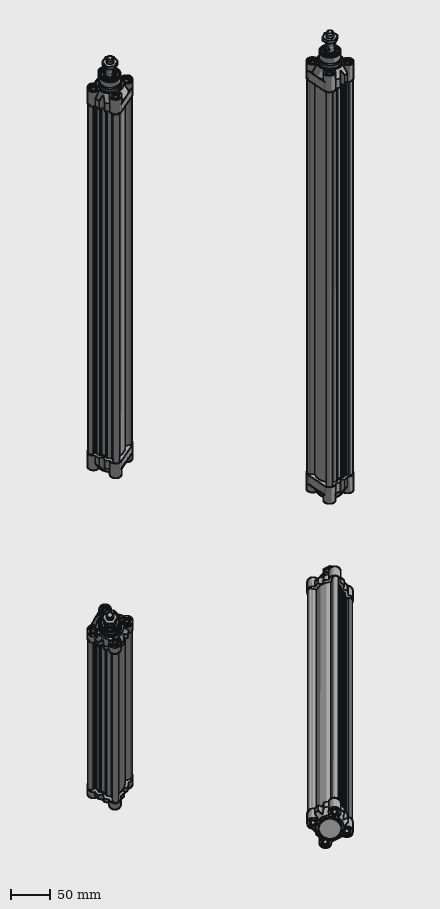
import cadquery as cq
import math


TOTAL_LENGTH = 746.0
REAR_COLLAR_HEIGHT = 4.0
ROD_STICKOUT = 48.0
CAP_HEIGHT = 27.0
FRONT_FACE_Z = TOTAL_LENGTH - ROD_STICKOUT
REAR_FACE_Z = REAR_COLLAR_HEIGHT
TUBE_BOTTOM_Z = REAR_FACE_Z + CAP_HEIGHT
TUBE_TOP_Z = FRONT_FACE_Z - CAP_HEIGHT

CAP_WIDTH = 47.0
CAP_RADIUS = CAP_WIDTH / 2
LOBE_DIAMETER = 16.0
LOBE_OFFSET = CAP_RADIUS - LOBE_DIAMETER / 2
CONE_HEIGHT = 12.0
CONE_INSET = 6.0
NOTCH_DEPTH = 4.5
NOTCH_ROOT_DIAMETER = 2.1
PORT_PAD_DEPTH = 9.0
SCREW_HOLE_DIAMETER = 6.0
SCREW_HOLE_DEPTH = 15.0
SCREW_SINK_DIAMETER = 10.5
SCREW_SINK_DEPTH = 2.0

COLLAR_DIAMETER = 30.0
COLLAR_HEIGHT = 18.0
COLLAR_BASE_HEIGHT = 4.5
COLLAR_NECK_DIAMETER = 27.5
COLLAR_SHOULDER = 2.0
COLLAR_TIP_CHAMFER = 1.5
REAR_COLLAR_CHAMFER = 1.0
WIPER_GROOVE_OUTER_DIAMETER = 22.0
WIPER_GROOVE_INNER_DIAMETER = 16.0
WIPER_GROOVE_DEPTH = 2.0

TUBE_WIDTH = 44.0
TUBE_BARREL_DIAMETER = 39.0
TUBE_BORE = 32.0
TUBE_CORNER_DIAMETER = 8.0
TUBE_CORNER_RADIUS = TUBE_CORNER_DIAMETER / 2
TUBE_CORNER_OFFSET = TUBE_WIDTH / 2 - TUBE_CORNER_RADIUS
MIDDLE_GROOVE_WIDTH = 10.5
MIDDLE_GROOVE_FLOOR_Y = 18.0
INNER_GROOVE_WIDTH = 6.0
INNER_GROOVE_FLOOR_Y = 17.0
SIDE_GROOVE_WIDTH = 2.0
SIDE_GROOVE_X = 13.0
SIDE_GROOVE_FLOOR_Y = 16.5

ROD_DIAMETER = 12.0
THREAD_DIAMETER = 10.0
THREAD_LENGTH = 19.5
SHOULDER_LENGTH = 4.0
TIP_DIAMETER = 7.0
TIP_LENGTH = 2.6
FLATS_WIDTH = 10.0
FLATS_BOTTOM_DEPTH = 26.0
FLATS_TOP_DEPTH = 21.0

NUT_ACROSS_FLATS = 17.0
NUT_HEIGHT = 5.0
NUT_TOP_DEPTH = 7.5

CORNERS = [(-1, -1), (-1, 1), (1, -1), (1, 1)]


def cylinder(diameter, bottom, height):
    """Upright cylinder on the Z axis."""
    return cq.Workplane("XY").workplane(offset=bottom).circle(diameter / 2).extrude(height)


def revolved(profile):
    """Solid turned about Z from (radius, z) points."""
    return cq.Workplane("XZ").polyline(profile).close().revolve(360, (0, 0), (0, 1))


def lobe_centres():
    return [(sx * LOBE_OFFSET, sy * LOBE_OFFSET) for sx, sy in CORNERS]


def cap_block():
    """End cap standing on its tube side at z = 0, with its outer face at CAP_HEIGHT."""
    cone_start = CAP_HEIGHT - CONE_HEIGHT
    block = revolved([
        (0, 0),
        (CAP_RADIUS, 0),
        (CAP_RADIUS, cone_start),
        (CAP_RADIUS - CONE_INSET, CAP_HEIGHT),
        (0, CAP_HEIGHT),
    ])
    pad = (
        cq.Workplane("XY")
        .center(CAP_RADIUS - PORT_PAD_DEPTH / 2, 0)
        .rect(PORT_PAD_DEPTH, 2 * LOBE_OFFSET)
        .extrude(cone_start)
    )
    notch = (
        cq.Workplane("XY")
        .rect(math.sqrt(2) * NOTCH_DEPTH, math.sqrt(2) * NOTCH_DEPTH)
        .extrude(CAP_HEIGHT)
        .edges("|Z")
        .edges(">X and >Y")
        .fillet(NOTCH_ROOT_DIAMETER / 2)
        .rotate((0, 0, 0), (0, 0, 1), -45)
        .translate((-CAP_RADIUS, 0, 0))
    )
    block = block.union(pad)
    for angle in (-90, 0, 90):
        block = block.cut(notch.rotate((0, 0, 0), (0, 0, 1), angle))
    lobes = (
        cq.Workplane("XY")
        .pushPoints(lobe_centres())
        .circle(LOBE_DIAMETER / 2)
        .extrude(CAP_HEIGHT)
    )
    block = block.union(lobes)
    return (
        block.faces(">Z")
        .workplane(origin=(0, 0, CAP_HEIGHT))
        .pushPoints(lobe_centres())
        .cboreHole(SCREW_HOLE_DIAMETER, SCREW_SINK_DIAMETER, SCREW_SINK_DEPTH, SCREW_HOLE_DEPTH)
    )


def make_front_cap():
    """Front cap with the stepped rod collar and a bore for the rod."""
    block = cap_block().translate((0, 0, TUBE_TOP_Z))
    base_top = FRONT_FACE_Z + COLLAR_BASE_HEIGHT
    collar_top = FRONT_FACE_Z + COLLAR_HEIGHT
    neck_radius = COLLAR_NECK_DIAMETER / 2
    collar = revolved([
        (0, FRONT_FACE_Z),
        (COLLAR_DIAMETER / 2, FRONT_FACE_Z),
        (COLLAR_DIAMETER / 2, base_top),
        (neck_radius, base_top + COLLAR_SHOULDER),
        (neck_radius, collar_top - COLLAR_TIP_CHAMFER),
        (neck_radius - COLLAR_TIP_CHAMFER, collar_top),
        (WIPER_GROOVE_OUTER_DIAMETER / 2, collar_top),
        (WIPER_GROOVE_OUTER_DIAMETER / 2, collar_top - WIPER_GROOVE_DEPTH),
        (WIPER_GROOVE_INNER_DIAMETER / 2, collar_top - WIPER_GROOVE_DEPTH),
        (WIPER_GROOVE_INNER_DIAMETER / 2, collar_top),
        (0, collar_top),
    ])
    bore = cylinder(ROD_DIAMETER, TUBE_TOP_Z, CAP_HEIGHT + COLLAR_HEIGHT)
    return block.union(collar).cut(bore)


def make_rear_cap():
    """Rear cap, turned over so that its outer face points down, with a short collar."""
    block = cap_block().mirror("XY").translate((0, 0, TUBE_BOTTOM_Z))
    collar = cylinder(COLLAR_DIAMETER, 0, REAR_COLLAR_HEIGHT).faces("<Z").chamfer(REAR_COLLAR_CHAMFER)
    return block.union(collar)


def make_tube():
    """Round barrel with four rounded corner ribs, and grooves on the -Y and +Y sides."""
    height = TUBE_TOP_Z - TUBE_BOTTOM_Z
    tube = cylinder(TUBE_BARREL_DIAMETER, TUBE_BOTTOM_Z, height)
    bar_length = 2 * (math.hypot(TUBE_CORNER_OFFSET, TUBE_CORNER_OFFSET) + TUBE_CORNER_RADIUS)
    for angle in (45, 135):
        bar = (
            cq.Workplane("XY")
            .workplane(offset=TUBE_BOTTOM_Z)
            .slot2D(bar_length, TUBE_CORNER_DIAMETER, angle)
            .extrude(height)
        )
        tube = tube.union(bar)
    grooves = [
        (0, MIDDLE_GROOVE_WIDTH, MIDDLE_GROOVE_FLOOR_Y),
        (0, INNER_GROOVE_WIDTH, INNER_GROOVE_FLOOR_Y),
        (-SIDE_GROOVE_X, SIDE_GROOVE_WIDTH, SIDE_GROOVE_FLOOR_Y),
        (SIDE_GROOVE_X, SIDE_GROOVE_WIDTH, SIDE_GROOVE_FLOOR_Y),
    ]
    for x, width, floor_y in grooves:
        depth = TUBE_WIDTH / 2 - floor_y
        for side in (-1, 1):
            groove = (
                cq.Workplane("XY")
                .workplane(offset=TUBE_BOTTOM_Z)
                .center(x, side * (floor_y + depth / 2))
                .rect(width, depth)
                .extrude(height)
            )
            tube = tube.cut(groove)
    return tube.cut(cylinder(TUBE_BORE, TUBE_BOTTOM_Z, height))


def make_rod():
    """Piston rod with a threaded end, a tapered shoulder and two wrench flats facing -X and +X."""
    thread_bottom = TOTAL_LENGTH - THREAD_LENGTH
    rod = revolved([
        (0, TUBE_TOP_Z),
        (ROD_DIAMETER / 2, TUBE_TOP_Z),
        (ROD_DIAMETER / 2, thread_bottom - SHOULDER_LENGTH),
        (THREAD_DIAMETER / 2, thread_bottom),
        (THREAD_DIAMETER / 2, TOTAL_LENGTH - TIP_LENGTH),
        (TIP_DIAMETER / 2, TOTAL_LENGTH),
        (0, TOTAL_LENGTH),
    ])
    flat_depth = (ROD_DIAMETER - FLATS_WIDTH) / 2
    for side in (-1, 1):
        flat = (
            cq.Workplane("XY")
            .workplane(offset=TOTAL_LENGTH - FLATS_BOTTOM_DEPTH)
            .center(side * (FLATS_WIDTH + flat_depth) / 2, 0)
            .rect(flat_depth, ROD_DIAMETER)
            .extrude(FLATS_BOTTOM_DEPTH - FLATS_TOP_DEPTH)
        )
        rod = rod.cut(flat)
    return rod


def make_nut():
    """Hexagonal lock nut on the rod thread, with two corners on the Y axis."""
    across_corners = NUT_ACROSS_FLATS / math.cos(math.pi / 6)
    return (
        cq.Workplane("XY")
        .workplane(offset=TOTAL_LENGTH - NUT_TOP_DEPTH - NUT_HEIGHT)
        .polygon(6, across_corners)
        .circle(THREAD_DIAMETER / 2)
        .extrude(NUT_HEIGHT)
        .rotate((0, 0, 0), (0, 0, 1), 90)
    )


tube = make_tube()
front_cap = make_front_cap()
rear_cap = make_rear_cap()
rod = make_rod()
nut = make_nut()

result = cq.Compound.makeCompound([
    tube.val(),
    front_cap.val(),
    rear_cap.val(),
    rod.val(),
    nut.val(),
])